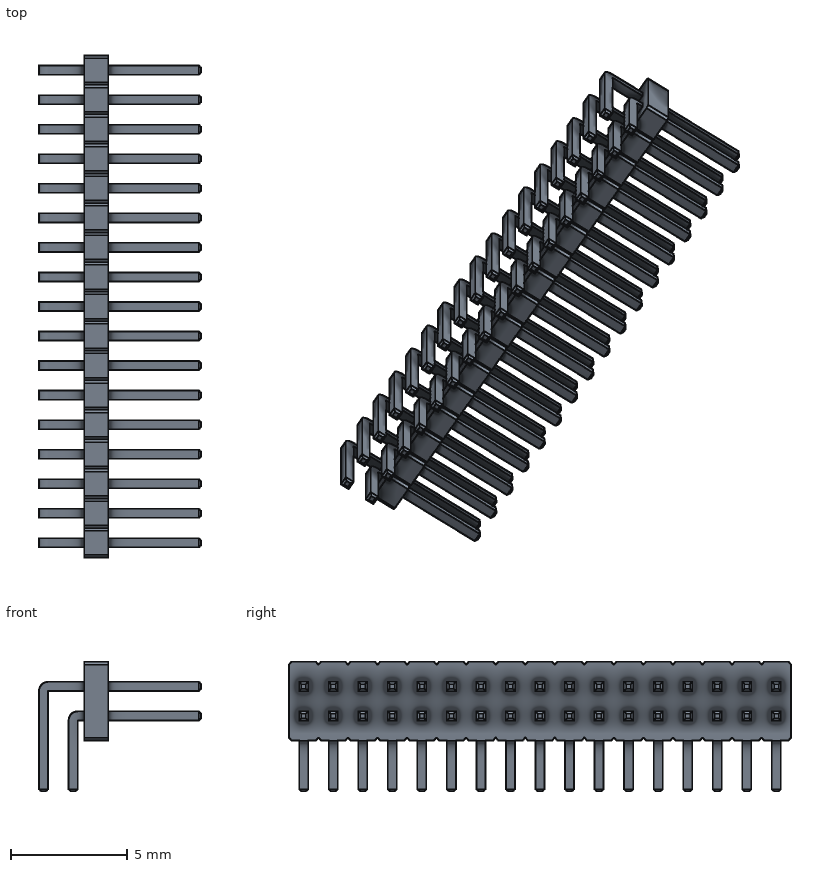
import cadquery as cq

PITCH = 1.27
POSITIONS = 17

HOUSING_LENGTH = POSITIONS * PITCH
HOUSING_THICKNESS = 1.05
HOUSING_HEIGHT = 3.4
HOUSING_CENTER_X = 2.265
NOTCH_DEPTH = 0.13
NOTCH_HALF_WIDTH = 0.115

PIN_WIDTH = 0.4
PIN_BEVEL = 0.1
OVERALL_DEPTH = 6.97
OVERALL_HEIGHT = 5.58

HALF_PIN = PIN_WIDTH / 2
MATING_TIP_X = OVERALL_DEPTH - HALF_PIN
LEG_TIP_Z = HOUSING_HEIGHT / 2 - OVERALL_HEIGHT


def copies_at(shape, points):
    """Copies of a shape moved to each of the given (x, y) points."""
    solid = shape.val()
    return cq.Workplane("XY").pushPoints(points).eachpoint(lambda location: solid.moved(location))


def make_housing():
    """Block with V-notches between positions and half notches at both ends."""
    housing = cq.Workplane("XY").box(HOUSING_THICKNESS, HOUSING_LENGTH, HOUSING_HEIGHT)
    half_height = HOUSING_HEIGHT / 2
    notch_points = [(0, index * PITCH - HOUSING_LENGTH / 2) for index in range(POSITIONS + 1)]
    for side in (-1, 1):
        surface_z = side * half_height
        root_z = side * (half_height - NOTCH_DEPTH)
        notch = (
            cq.Workplane("YZ")
            .polyline([(-NOTCH_HALF_WIDTH, surface_z), (0, root_z), (NOTCH_HALF_WIDTH, surface_z)])
            .close()
            .extrude(HOUSING_THICKNESS / 2, both=True)
        )
        housing = housing.cut(copies_at(notch, notch_points))
    return housing.translate((HOUSING_CENTER_X, 0, 0))


def make_pin(leg_x, mating_z):
    """Square pin bent down by 90 degrees, rounded outside and sharp inside the bend."""
    leg_length = mating_z + HALF_PIN - LEG_TIP_Z
    mating_length = MATING_TIP_X - leg_x + HALF_PIN
    leg = (
        cq.Workplane("XY")
        .box(PIN_WIDTH, PIN_WIDTH, leg_length, centered=(True, True, False))
        .faces("<Z").chamfer(PIN_BEVEL)
        .translate((leg_x, 0, LEG_TIP_Z))
    )
    mating_end = (
        cq.Workplane("XY")
        .box(mating_length, PIN_WIDTH, PIN_WIDTH, centered=(False, True, True))
        .faces(">X").chamfer(PIN_BEVEL)
        .translate((leg_x - HALF_PIN, 0, mating_z))
    )
    bend_edge = cq.NearestToPointSelector((leg_x - HALF_PIN, 0, mating_z + HALF_PIN))
    return leg.union(mating_end).edges(bend_edge).fillet(PIN_WIDTH)


def make_header():
    """Housing with one outer and one inner pin at every position."""
    outer_pin = make_pin(0, PITCH / 2)
    inner_pin = make_pin(PITCH, -PITCH / 2)
    pin_points = [(0, (index - (POSITIONS - 1) / 2) * PITCH) for index in range(POSITIONS)]
    header = make_housing()
    for pin in (outer_pin, inner_pin):
        header = header.union(copies_at(pin, pin_points))
    return header


result = make_header()